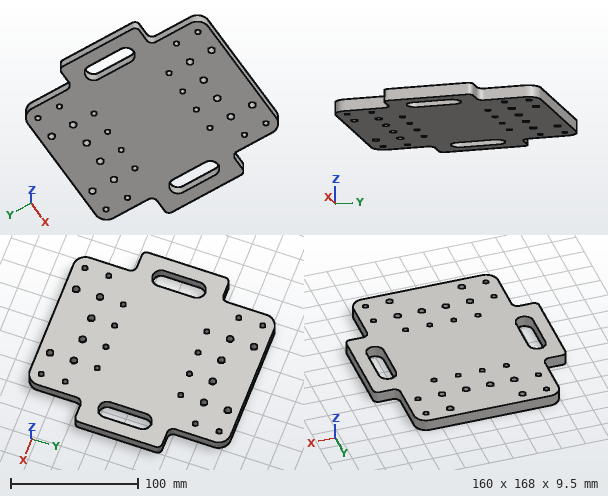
import cadquery as cq

length = 168.0
body_width = 120.0
overall_width = 160.0
thickness = 9.5
tab_length = 72.5

body_corner_radius = 10.0
tab_corner_radius = 4.0
inner_corner_radius = 5.0

slot_length = 44.0
slot_width = 14.1
slot_offset = 62.0

small_hole_diameter = 4.2
large_hole_diameter = 5.4
hole_pitch = 20.0
middle_row_y = 54.5
outer_row_y = middle_row_y + hole_pitch
inner_row_y = 35.0

inner_column_x = hole_pitch / 2
middle_column_x = inner_column_x + hole_pitch
outer_column_x = middle_column_x + hole_pitch


def mirrored(points):
    """Repeat first-quadrant points in all four quadrants."""
    return [(sx * x, sy * y) for x, y in points for sx in (-1, 1) for sy in (-1, 1)]


def round_corners(plate, corner, radius):
    """Round the four vertical edges at the mirrored positions of a corner."""
    reach = 0.2
    x, y = corner
    for cx, cy in mirrored([(x, y)]):
        selector = cq.selectors.BoxSelector(
            (cx - reach, cy - reach, 0),
            (cx + reach, cy + reach, thickness),
        )
        plate = plate.edges("|Z").edges(selector).fillet(radius)
    return plate


def make_plate():
    """Cross-shaped plate: a long body with a handle tab on each side."""
    body = cq.Workplane("XY").rect(body_width, length).extrude(thickness)
    tabs = cq.Workplane("XY").rect(overall_width, tab_length).extrude(thickness)
    plate = body.union(tabs)
    plate = round_corners(plate, (body_width / 2, length / 2), body_corner_radius)
    plate = round_corners(plate, (overall_width / 2, tab_length / 2), tab_corner_radius)
    return round_corners(plate, (body_width / 2, tab_length / 2), inner_corner_radius)


def make_slots():
    """Round-ended handle openings, long along Y."""
    centres = [(-slot_offset, 0), (slot_offset, 0)]
    return cq.Workplane("XY").pushPoints(centres).slot2D(slot_length, slot_width, 90).extrude(thickness)


def make_holes(points, diameter):
    """Through holes at the mirrored positions of the given points."""
    return cq.Workplane("XY").pushPoints(mirrored(points)).circle(diameter / 2).extrude(thickness)


small_hole_points = [
    (outer_column_x, outer_row_y),
    (outer_column_x, middle_row_y),
    (middle_column_x, inner_row_y),
    (inner_column_x, inner_row_y),
]
large_hole_points = [
    (middle_column_x, outer_row_y),
    (middle_column_x, middle_row_y),
    (inner_column_x, middle_row_y),
]

result = (
    make_plate()
    .cut(make_slots())
    .cut(make_holes(small_hole_points, small_hole_diameter))
    .cut(make_holes(large_hole_points, large_hole_diameter))
)